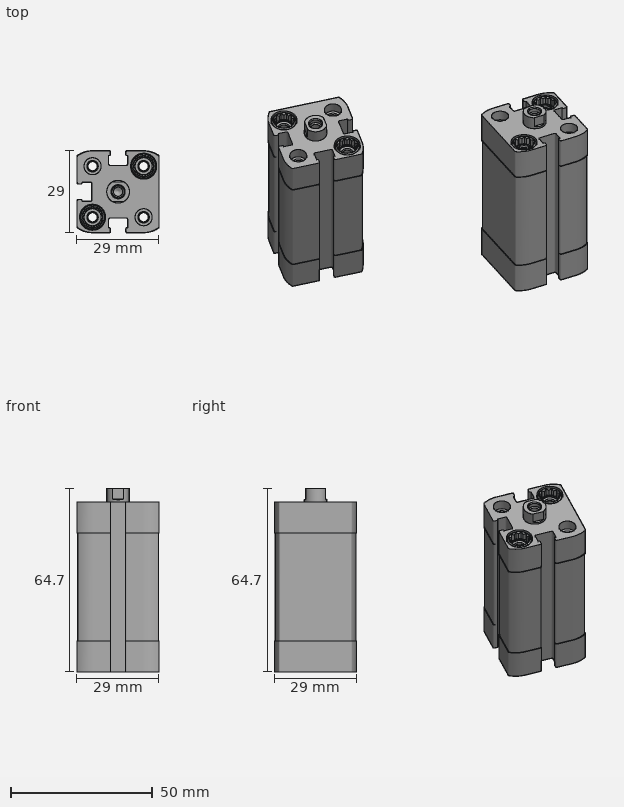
import cadquery as cq
import math

TOTAL_HEIGHT = 64.7
HOUSING_HEIGHT = 60.0
CAP_HEIGHT = 11.0
CAP_WIDTH = 29.0
BARREL_INSET = 0.225
BARREL_WIDTH = CAP_WIDTH - 2 * BARREL_INSET
CORNER_START = 9.0
CAP_CORNER_RADIUS = 9.4
BARREL_CORNER_RADIUS = CAP_CORNER_RADIUS - BARREL_INSET
EDGE_FILLET = 0.5

SLOT_OPENING = 5.4
SLOT_INNER_WIDTH = 6.65
SLOT_DEPTH = 5.2
SLOT_LIP_DEPTH = 1.8
SLOT_FILLET = 0.45
SLOT_ANGLES = (0, 180, -90)

HOLE_OFFSET = CORNER_START
HOLE_DIAMETER = 3.25
HOLE_CHAMFER_DIAMETER = 4.0
COUNTERBORE_DIAMETER = 6.0
COUNTERBORE_DEPTH = 3.7

SOCKET_POINTS = 12
SOCKET_VALLEY_DIAMETER = 7.3
SOCKET_RIDGE_DIAMETER = 6.35
SOCKET_DEPTH = 3.1
SOCKET_CREST_DIAMETER = 7.5
SOCKET_RIDGE_CHAMFER_DEPTH = 0.7
GROOVE_OUTER_DIAMETER = 9.2
GROOVE_INNER_DIAMETER = 8.5
GROOVE_SLOPE_DEPTH = 0.5
GROOVE_DEPTH = 1.3

ROD_DIAMETER = 8.0
ROD_SEAT_DEPTH = CAP_HEIGHT
ROD_FLATS_WIDTH = 7.0
ROD_FLATS_LENGTH = 3.7
ROD_FLATS_SLOPE_HEIGHT = 0.3
ROD_MOUTH_DIAMETER = 5.0
ROD_BORE_DIAMETER = 4.3
ROD_BORE_DEPTH = 1.75
ROD_CORE_DIAMETER = 3.25
ROD_CORE_DEPTH = 9.05
DRILL_TIP_ANGLE = 118.0


def corner_block(width, corner_radius, height):
    """Square block whose +Y and -Y sides sweep round into the X sides; base at z = 0."""
    half = width / 2
    arc_center_y = half - corner_radius

    def arc_y(x):
        return arc_center_y + math.sqrt(corner_radius**2 - (x - CORNER_START) ** 2)

    mid_x = (CORNER_START + half) / 2
    mid_y = arc_y(mid_x)
    end_y = arc_y(half)
    return (
        cq.Workplane("XY")
        .moveTo(-CORNER_START, half)
        .lineTo(CORNER_START, half)
        .threePointArc((mid_x, mid_y), (half, end_y))
        .lineTo(half, -end_y)
        .threePointArc((mid_x, -mid_y), (CORNER_START, -half))
        .lineTo(-CORNER_START, -half)
        .threePointArc((-mid_x, -mid_y), (-half, -end_y))
        .lineTo(-half, end_y)
        .threePointArc((-mid_x, mid_y), (-CORNER_START, half))
        .close()
        .extrude(height)
    )


def t_slot(half_width):
    """Cutter for the T-slot on the -Y side, with rounded lips and floor corners."""
    mouth = SLOT_OPENING / 2
    inner = SLOT_INNER_WIDTH / 2
    face_y = -half_width
    floor_y = -CAP_WIDTH / 2 + SLOT_DEPTH
    lip_y = -CAP_WIDTH / 2 + SLOT_LIP_DEPTH
    arc_rise = SLOT_FILLET * (1 - math.sqrt(0.5))
    right_side = (
        cq.Workplane("XY")
        .moveTo(0, face_y)
        .lineTo(mouth + SLOT_FILLET, face_y)
        .threePointArc((mouth + arc_rise, face_y + arc_rise), (mouth, face_y + SLOT_FILLET))
        .lineTo(mouth, lip_y - SLOT_FILLET)
        .threePointArc((mouth + arc_rise, lip_y - arc_rise), (mouth + SLOT_FILLET, lip_y))
        .lineTo(inner, lip_y)
        .lineTo(inner, floor_y - SLOT_FILLET)
        .threePointArc((inner - arc_rise, floor_y - arc_rise), (inner - SLOT_FILLET, floor_y))
        .lineTo(0, floor_y)
        .close()
        .extrude(HOUSING_HEIGHT)
    )
    return right_side.union(right_side.mirror("YZ"))


def slotted_section(width, corner_radius, base_z, height):
    """One length of housing profile with its three T-slots."""
    section = corner_block(width, corner_radius, height)
    section = section.edges("|Z and (<X or >X)").fillet(EDGE_FILLET)
    slot = t_slot(width / 2)
    for angle in SLOT_ANGLES:
        section = section.cut(slot.rotate((0, 0, 0), (0, 0, 1), angle))
    return section.translate((0, 0, base_z))


def revolved(points, x=0, y=0):
    """Solid of revolution about a vertical axis through (x, y) from (radius, z) points."""
    return (
        cq.Workplane("XZ")
        .polyline(points)
        .close()
        .revolve(360, (0, 0), (0, 1))
        .translate((x, y, 0))
    )


def corner_hole_cutter(x, y):
    """Counterbored through hole with a chamfer at the counterbore floor."""
    hole = HOLE_DIAMETER / 2
    chamfer = HOLE_CHAMFER_DIAMETER / 2
    bore = COUNTERBORE_DIAMETER / 2
    floor_z = HOUSING_HEIGHT - COUNTERBORE_DEPTH
    return revolved(
        [
            (0, 0),
            (hole, 0),
            (hole, floor_z - (chamfer - hole)),
            (chamfer, floor_z),
            (bore, floor_z),
            (bore, HOUSING_HEIGHT),
            (0, HOUSING_HEIGHT),
        ],
        x,
        y,
    )


def socket_cutter(x, y):
    """Twelve-point socket above the counterbore, with a conical lead-in."""
    top = HOUSING_HEIGHT
    valley = SOCKET_VALLEY_DIAMETER / 2
    ridge = SOCKET_RIDGE_DIAMETER / 2
    crest = SOCKET_CREST_DIAMETER / 2
    step = math.pi / SOCKET_POINTS
    outline = []
    for i in range(2 * SOCKET_POINTS):
        radius = ridge if i % 2 else valley
        outline.append((radius * math.cos(i * step), radius * math.sin(i * step)))
    star = (
        cq.Workplane("XY")
        .polyline(outline)
        .close()
        .extrude(SOCKET_DEPTH)
        .translate((x, y, top - SOCKET_DEPTH))
    )
    ridge_z = top - SOCKET_RIDGE_CHAMFER_DEPTH
    lead_in = revolved([(0, ridge_z), (ridge, ridge_z), (crest, top), (0, top)], x, y)
    return star.union(lead_in)


def groove_cutter(x, y):
    """Ring groove round a socket; its inner wall slopes up to the socket crest."""
    top = HOUSING_HEIGHT
    floor_z = top - GROOVE_DEPTH
    inner = GROOVE_INNER_DIAMETER / 2
    outer = GROOVE_OUTER_DIAMETER / 2
    return revolved(
        [
            (SOCKET_CREST_DIAMETER / 2, top),
            (inner, top - GROOVE_SLOPE_DEPTH),
            (inner, floor_z),
            (outer, floor_z),
            (outer, top),
        ],
        x,
        y,
    )


def make_housing():
    """Barrel between two caps, with T-slots, corner holes, sockets and the rod seat."""
    barrel_height = HOUSING_HEIGHT - 2 * CAP_HEIGHT
    housing = slotted_section(BARREL_WIDTH, BARREL_CORNER_RADIUS, CAP_HEIGHT, barrel_height)
    for base_z in (0, HOUSING_HEIGHT - CAP_HEIGHT):
        cap = slotted_section(CAP_WIDTH, CAP_CORNER_RADIUS, base_z, CAP_HEIGHT)
        housing = housing.union(cap)

    for side_x in (-1, 1):
        for side_y in (-1, 1):
            x = side_x * HOLE_OFFSET
            y = side_y * HOLE_OFFSET
            housing = housing.cut(corner_hole_cutter(x, y))
            if side_x == side_y:
                housing = housing.cut(socket_cutter(x, y))
                housing = housing.cut(groove_cutter(x, y))

    rod_seat = (
        cq.Workplane("XY", origin=(0, 0, HOUSING_HEIGHT - ROD_SEAT_DEPTH))
        .circle(ROD_DIAMETER / 2)
        .extrude(ROD_SEAT_DEPTH)
    )
    return housing.cut(rod_seat)


def rod_flat_cutter():
    """Cutter for the flat on the +Y side of the rod, ending in a short slope."""
    radius = ROD_DIAMETER / 2
    flat_y = ROD_FLATS_WIDTH / 2
    flat_end_z = TOTAL_HEIGHT - ROD_FLATS_LENGTH
    return (
        cq.Workplane("YZ")
        .moveTo(flat_y, TOTAL_HEIGHT)
        .lineTo(flat_y, flat_end_z)
        .lineTo(radius, flat_end_z - ROD_FLATS_SLOPE_HEIGHT)
        .lineTo(radius, TOTAL_HEIGHT)
        .close()
        .extrude(radius, both=True)
    )


def rod_bore_cutter():
    """Chamfered stepped bore in the rod end, finishing in a drill point."""
    mouth = ROD_MOUTH_DIAMETER / 2
    bore = ROD_BORE_DIAMETER / 2
    core = ROD_CORE_DIAMETER / 2
    bore_end_z = TOTAL_HEIGHT - ROD_BORE_DEPTH
    core_end_z = TOTAL_HEIGHT - ROD_CORE_DEPTH
    tip_slope = 1 / math.tan(math.radians(DRILL_TIP_ANGLE / 2))
    return revolved(
        [
            (0, TOTAL_HEIGHT),
            (mouth, TOTAL_HEIGHT),
            (bore, TOTAL_HEIGHT - (mouth - bore)),
            (bore, bore_end_z),
            (core, bore_end_z - (bore - core) * tip_slope),
            (core, core_end_z),
            (0, core_end_z - core * tip_slope),
        ]
    )


def make_rod():
    """Piston rod standing in its seat, with two wrench flats and a stepped bore."""
    base_z = HOUSING_HEIGHT - ROD_SEAT_DEPTH
    rod = (
        cq.Workplane("XY", origin=(0, 0, base_z))
        .circle(ROD_DIAMETER / 2)
        .extrude(TOTAL_HEIGHT - base_z)
    )
    flat = rod_flat_cutter()
    return rod.cut(flat).cut(flat.mirror("XZ")).cut(rod_bore_cutter())


housing = make_housing()
rod = make_rod()

result = cq.Compound.makeCompound([housing.val(), rod.val()])